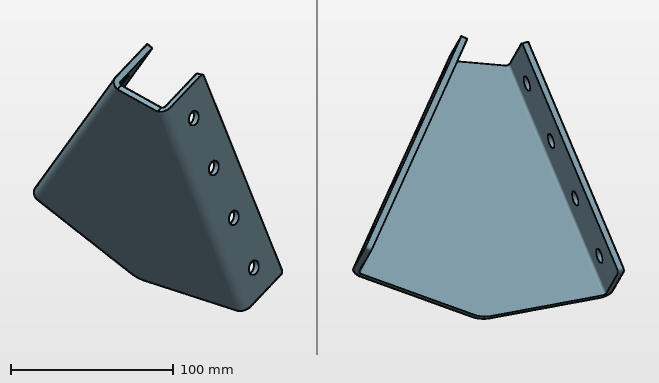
import cadquery as cq
import math

overall_width = 163.5
overall_height = 171.5
flange_depth = 40.0
thickness = 4.1
bend_radius = 6.0
flange_length = 160.0
corner_radius = 2.0
tip_radius = 20.0
hole_diameter = 9.1
hole_count = 4
hole_pitch = flange_length / hole_count
flange_tilt = 22.4

tilt_sin = math.sin(math.radians(flange_tilt))
tilt_cos = math.cos(math.radians(flange_tilt))

corner_x = overall_width / 2
corner_z = overall_height - flange_length * tilt_cos

fold_bottom_x = corner_x - bend_radius * tilt_cos
fold_bottom_z = corner_z - bend_radius * tilt_sin
fold_top_x = fold_bottom_x - flange_length * tilt_sin
fold_top_z = fold_bottom_z + flange_length * tilt_cos


def sharp_tip_z():
    """Height of the unrounded tip whose tangent arc reaches down to Z = 0."""
    depth = 0.0
    refinements = 8
    for _ in range(refinements):
        slope = math.atan2(fold_bottom_z + depth, fold_bottom_x)
        depth = tip_radius * (1 / math.cos(slope) - 1)
    return -depth


def make_plate():
    tip_z = sharp_tip_z()
    outline = [
        (fold_top_x, fold_top_z),
        (fold_bottom_x, fold_bottom_z),
        (0, tip_z),
        (-fold_bottom_x, fold_bottom_z),
        (-fold_top_x, fold_top_z),
    ]
    plate = cq.Workplane("XZ").polyline(outline).close().extrude(-thickness)
    tip_edge = cq.selectors.NearestToPointSelector((0, thickness / 2, tip_z))
    return plate.edges("|Y").edges(tip_edge).fillet(tip_radius)


def make_right_flange():
    frame = cq.Plane(
        origin=(fold_bottom_x, 0, fold_bottom_z),
        xDir=(tilt_cos, 0, tilt_sin),
        normal=(-tilt_sin, 0, tilt_cos),
    )
    inner_radius = bend_radius - thickness
    diagonal = math.sqrt(0.5)
    outer_middle = (bend_radius * diagonal, bend_radius * (1 - diagonal))
    inner_middle = (inner_radius * diagonal, bend_radius - inner_radius * diagonal)
    flange = (
        cq.Workplane(frame)
        .moveTo(0, 0)
        .threePointArc(outer_middle, (bend_radius, bend_radius))
        .lineTo(bend_radius, flange_depth)
        .lineTo(inner_radius, flange_depth)
        .lineTo(inner_radius, bend_radius)
        .threePointArc(inner_middle, (0, thickness))
        .close()
        .extrude(flange_length)
    )
    outward = cq.Vector(tilt_cos, 0, tilt_sin)
    flange = flange.faces(">Y").edges(cq.selectors.ParallelDirSelector(outward)).fillet(corner_radius)

    first_hole = hole_pitch / 2
    hole_y = flange_depth / 2
    for index in range(hole_count):
        hole_center = frame.toWorldCoords((0, hole_y, first_hole + index * hole_pitch))
        hole = cq.Solid.makeCylinder(hole_diameter / 2, bend_radius, hole_center, outward)
        flange = flange.cut(cq.Workplane(obj=hole))
    return flange


right_flange = make_right_flange()
left_flange = right_flange.mirror("YZ")
result = make_plate().union(right_flange).union(left_flange)